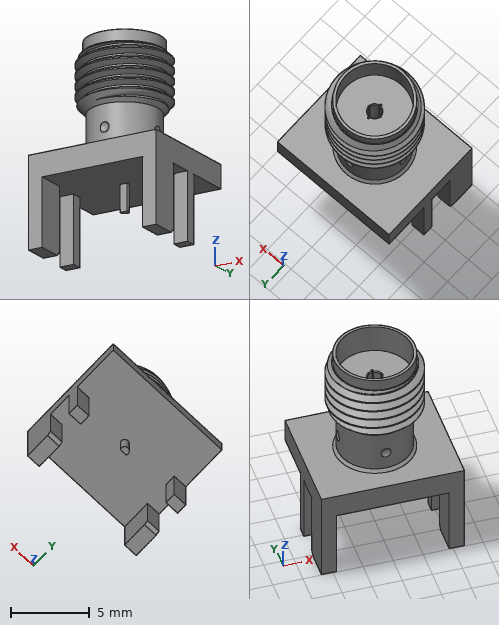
import cadquery as cq
import math


FLANGE_X = 9.52
FLANGE_Y = 7.92
FLANGE_THICKNESS = 1.65
LEG_LENGTH = 4.75
LEG_X = 1.02
WIDE_LEG_Y = 2.12
LEG_CHAMFER = 0.28
NARROW_LEG_Y = 0.76
BOARD_FACE_Y = -0.13

PIN_DIAMETER = 0.58
PIN_LENGTH = 1.88

BARREL_HEIGHT = 7.89
NECK_DIAMETER = 4.95
FOOT_DIAMETER = 5.35
FOOT_HEIGHT = (FOOT_DIAMETER - NECK_DIAMETER) / 2
THREAD_BOTTOM = 3.05
COLLAR_DIAMETER = 5.35
COLLAR_HEIGHT = 0.8
BORE_DIAMETER = 4.95
BORE_DEPTH = 2.0

THREAD_MAJOR_DIAMETER = 6.35
THREAD_ROOT_DIAMETER = 5.5
THREADS_PER_INCH = 36
INCH = 25.4
THREAD_PITCH = INCH / THREADS_PER_INCH
THREAD_CREST_WIDTH = THREAD_PITCH / 8
FLANK_ANGLE = 30
CREST_HEIGHT = 3.81
CUTTER_OVERLAP = 0.02

DIMPLE_COUNT = 4
DIMPLE_DIAMETER = 0.7
DIMPLE_HEIGHT = 1.475
DIMPLE_BALL_RADIUS = 0.5

CONTACT_DIAMETER = 1.27
SOCKET_MOUTH_DIAMETER = 1.04
SOCKET_DIAMETER = 0.9
SOCKET_DEPTH = 2.5
SLOT_REACH_X = 0.55
SLOT_REACH_Y = CONTACT_DIAMETER / 2
SLOT_WIDTH = 0.1


def box(x_range, y_range, z_range):
    """Block spanning the given coordinate ranges."""
    size = [high - low for low, high in (x_range, y_range, z_range)]
    corner = (x_range[0], y_range[0], z_range[0])
    return cq.Workplane("XY").box(*size, centered=False).translate(corner)


def make_flange():
    flange = cq.Workplane("XY").box(FLANGE_X, FLANGE_Y, FLANGE_THICKNESS)
    return flange.translate((0, 0, -FLANGE_THICKNESS / 2))


def make_legs():
    """Wide leg and narrow leg under each X side, with the board gap between them."""
    z_range = (-FLANGE_THICKNESS - LEG_LENGTH, -FLANGE_THICKNESS)
    wide_y = (-FLANGE_Y / 2, -FLANGE_Y / 2 + WIDE_LEG_Y)
    narrow_y = (BOARD_FACE_Y, BOARD_FACE_Y + NARROW_LEG_Y)
    inner_x = FLANGE_X / 2 - LEG_X
    legs = cq.Workplane("XY")
    for x_range in ((-FLANGE_X / 2, -inner_x), (inner_x, FLANGE_X / 2)):
        wide_leg = box(x_range, wide_y, z_range)
        wide_leg = wide_leg.faces("<Z").edges(">Y").chamfer(LEG_CHAMFER)
        legs = legs.add(wide_leg).add(box(x_range, narrow_y, z_range))
    return legs.combine()


def make_pin():
    radius = PIN_DIAMETER / 2
    bottom = -FLANGE_THICKNESS - PIN_LENGTH
    rod = cq.Workplane("XY").workplane(offset=bottom).circle(radius).extrude(PIN_LENGTH)
    return rod.intersect(box((-radius, radius), (BOARD_FACE_Y, radius), (bottom, -FLANGE_THICKNESS)))


def make_barrel_blank():
    """Turned barrel with the thread still a plain cylinder with 45 degree ends."""
    neck = NECK_DIAMETER / 2
    major = THREAD_MAJOR_DIAMETER / 2
    root = THREAD_ROOT_DIAMETER / 2
    collar = COLLAR_DIAMETER / 2
    thread_top = BARREL_HEIGHT - COLLAR_HEIGHT
    outline = [
        (0, 0),
        (FOOT_DIAMETER / 2, 0),
        (neck, FOOT_HEIGHT),
        (neck, THREAD_BOTTOM),
        (major, THREAD_BOTTOM + major - neck),
        (major, thread_top - (major - root)),
        (root, thread_top),
        (collar, thread_top),
        (collar, BARREL_HEIGHT),
        (0, BARREL_HEIGHT),
    ]
    return cq.Workplane("XZ").polyline(outline).close().revolve(360, (0, 0, 0), (0, 1, 0))


def make_groove_turn(start):
    """One turn of a helical V cutter with a flat root, centred on the given height at +X."""
    root = THREAD_ROOT_DIAMETER / 2
    outer = THREAD_MAJOR_DIAMETER / 2 + CUTTER_OVERLAP
    slope = math.tan(math.radians(FLANK_ANGLE))
    half_outer = (THREAD_PITCH - THREAD_CREST_WIDTH) / 2 + CUTTER_OVERLAP * slope
    half_root = half_outer - (outer - root) * slope
    helix = cq.Wire.makeHelix(THREAD_PITCH, THREAD_PITCH, root).translate(cq.Vector(0, 0, start))
    profile = [
        (root, start - half_root),
        (outer, start - half_outer),
        (outer, start + half_outer),
        (root, start + half_root),
    ]
    return cq.Workplane("XZ").polyline(profile).close().sweep(cq.Workplane(obj=helix), isFrenet=True)


def cut_thread(blank):
    """Cut the groove turn by turn, running past both ends of the thread."""
    groove_height = CREST_HEIGHT - THREAD_PITCH / 2
    start = groove_height - THREAD_PITCH
    thread_top = BARREL_HEIGHT - COLLAR_HEIGHT
    turns = math.ceil((thread_top - start) / THREAD_PITCH)
    threaded = blank
    for turn in range(turns):
        threaded = threaded.cut(make_groove_turn(start + turn * THREAD_PITCH))
    return threaded


def make_dimples():
    """Balls pressed shallowly into the neck at even spacing."""
    mouth_radius = DIMPLE_DIAMETER / 2
    centre_radius = NECK_DIAMETER / 2 + math.sqrt(DIMPLE_BALL_RADIUS**2 - mouth_radius**2)
    centres = cq.Workplane("XY").workplane(offset=DIMPLE_HEIGHT)
    ball = cq.Workplane("XY").sphere(DIMPLE_BALL_RADIUS).rotate((0, 0, 0), (0, 1, 0), 90).val()
    return centres.polarArray(centre_radius, 0, 360, DIMPLE_COUNT).eachpoint(ball, combine=True)


def make_socket(top):
    """Chamfered socket hole with slots through the contact wall."""
    chamfer = (SOCKET_MOUTH_DIAMETER - SOCKET_DIAMETER) / 2
    outline = [
        (0, top),
        (SOCKET_MOUTH_DIAMETER / 2, top),
        (SOCKET_DIAMETER / 2, top - chamfer),
        (SOCKET_DIAMETER / 2, top - SOCKET_DEPTH),
        (0, top - SOCKET_DEPTH),
    ]
    socket = cq.Workplane("XZ").polyline(outline).close().revolve(360, (0, 0, 0), (0, 1, 0))
    half_width = SLOT_WIDTH / 2
    for reach_x, reach_y in ((SLOT_REACH_X, half_width), (half_width, SLOT_REACH_Y)):
        slot = box((-reach_x, reach_x), (-reach_y, reach_y), (top - SOCKET_DEPTH, top))
        socket = socket.union(slot)
    return socket


def make_barrel():
    bore_floor = BARREL_HEIGHT - BORE_DEPTH
    bore = cq.Workplane("XY").workplane(offset=bore_floor).circle(BORE_DIAMETER / 2).extrude(BORE_DEPTH)
    barrel = cut_thread(make_barrel_blank())
    return barrel.cut(bore).cut(make_socket(bore_floor)).cut(make_dimples())


result = make_flange().union(make_legs()).union(make_pin()).union(make_barrel())